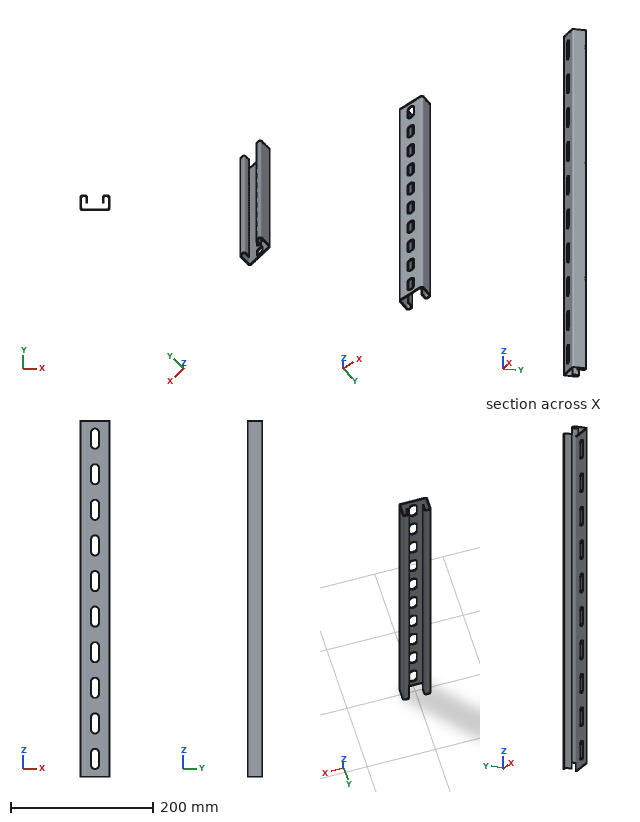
import cadquery as cq

length = 500.0
width = 41.0
depth = 21.0
thickness = 1.5
bend_radius = 3.0
flange_width = 9.5
lip_depth = 10.5

slot_length = 28.0
slot_width = 11.0
slot_pitch = 50.0
slot_count = 10

back_y = -depth / 2
open_y = depth / 2


def bar(x_min, x_max, y_min, y_max):
    """Full-length rectangular bar standing on Z = 0."""
    return (
        cq.Workplane("XY")
        .box(x_max - x_min, y_max - y_min, length, centered=False)
        .translate((x_min, y_min, 0))
    )


def channel_envelope(inset):
    """Rounded outline of the channel body, shrunk by the given inset."""
    half_width = width / 2 - inset
    body = bar(-half_width, half_width, back_y + inset, open_y - inset)
    return body.edges("|Z").fillet(bend_radius - inset)


def folded_edge():
    """Lip at the +X side, joined to the side wall by a rounded flange."""
    lip_x = width / 2 - flange_width
    lip_end_y = open_y - lip_depth
    outer = bar(lip_x, width / 2, lip_end_y, open_y)
    outer = outer.edges("|Z and >Y").fillet(bend_radius)
    inner = bar(lip_x + thickness, width / 2 - thickness, lip_end_y, open_y - thickness)
    inner = inner.edges("|Z and >Y").fillet(bend_radius - thickness)
    return outer.cut(inner)


def back_slots():
    """Row of obround cutters through the back wall."""
    first_z = (length - (slot_count - 1) * slot_pitch) / 2
    centers = [(0, first_z + i * slot_pitch) for i in range(slot_count)]
    return (
        cq.Workplane("XZ", origin=(0, back_y + thickness, 0))
        .pushPoints(centers)
        .slot2D(slot_length, slot_width, 90)
        .extrude(thickness)
    )


tube = channel_envelope(0).cut(channel_envelope(thickness))
mouth_half_width = width / 2 - bend_radius
mouth = bar(-mouth_half_width, mouth_half_width, open_y - thickness, open_y)
right_edge = folded_edge()
left_edge = right_edge.mirror("YZ")

channel = tube.cut(mouth).union(right_edge).union(left_edge)
result = channel.cut(back_slots())